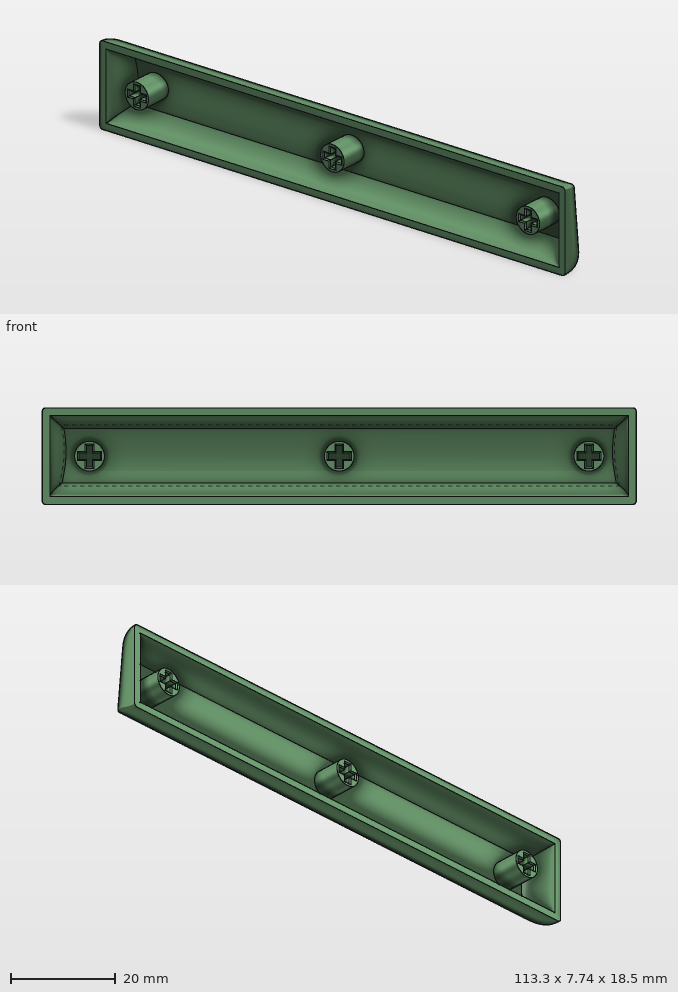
import cadquery as cq
import math

LENGTH = 113.25
WIDTH = 18.45
HEIGHT = 7.74

WALL = 1.5
CORNER_RADIUS = 0.7

UPPER_SIDE_RADIUS = 8.6
LOWER_SIDE_RADIUS = 10.1

TOP_RADIUS = 41.0
CREST_Z = -3.0

END_RADIUS = 7.3
END_STRAIGHT = 1.0
END_SLOPE = 0.1
END_TILT = math.degrees(math.atan(END_SLOPE))

STEM_COUNT = 3
STEM_PITCH = 47.6
STEM_DIAMETER = 5.7
STEM_TIP_Y = 0.0
CROSS_LENGTH = 4.1
CROSS_WIDTH = 1.2
CROSS_CHAMFER = 0.25


def circle_crossing(center_a, radius_a, center_b, radius_b, side):
    """Crossing point of two circles; side is 1 or -1, left or right when looking from a to b."""
    du = center_b[0] - center_a[0]
    dv = center_b[1] - center_a[1]
    distance = math.hypot(du, dv)
    along = (radius_a**2 - radius_b**2 + distance**2) / (2 * distance)
    across = side * math.sqrt(radius_a**2 - along**2)
    u = center_a[0] + (along * du - across * dv) / distance
    v = center_a[1] + (along * dv + across * du) / distance
    return u, v


def point_between(center, start, end):
    """Point on the circle around the center, midway between two of its points."""
    start_angle = math.atan2(start[1] - center[1], start[0] - center[0])
    end_angle = math.atan2(end[1] - center[1], end[0] - center[0])
    angle = (start_angle + end_angle) / 2
    radius = math.dist(center, start)
    return center[0] + radius * math.cos(angle), center[1] + radius * math.sin(angle)


def cross_section_bar(inset):
    """Bar along X with the arched cross-section of the cap, moved inwards by the inset."""
    half_width = WIDTH / 2
    upper_center = (0, half_width - UPPER_SIDE_RADIUS)
    lower_center = (0, LOWER_SIDE_RADIUS - half_width)
    top_center = (HEIGHT - TOP_RADIUS, CREST_Z)
    top_radius = TOP_RADIUS - inset
    upper_rim = (0, half_width - inset)
    lower_rim = (0, inset - half_width)
    upper_corner = circle_crossing(top_center, top_radius, upper_center, UPPER_SIDE_RADIUS - inset, 1)
    lower_corner = circle_crossing(top_center, top_radius, lower_center, LOWER_SIDE_RADIUS - inset, -1)
    return (
        cq.Workplane("YZ")
        .moveTo(*upper_rim)
        .threePointArc(point_between(upper_center, upper_rim, upper_corner), upper_corner)
        .threePointArc(point_between(top_center, upper_corner, lower_corner), lower_corner)
        .threePointArc(point_between(lower_center, lower_corner, lower_rim), lower_rim)
        .close()
        .extrude(LENGTH, both=True)
    )


def end_block(inset):
    """Long block with arched ends, tilted about X to follow the top face."""
    half_length = LENGTH / 2 - inset
    radius = END_RADIUS - inset
    arc_start = (half_length, END_STRAIGHT)
    arc_end = (half_length - radius, END_STRAIGHT + radius)
    arc_middle = point_between((arc_end[0], END_STRAIGHT), arc_start, arc_end)
    half_outline = (
        cq.Workplane("XY")
        .moveTo(0, -HEIGHT)
        .lineTo(half_length, -HEIGHT)
        .lineTo(*arc_start)
        .threePointArc(arc_middle, arc_end)
        .lineTo(0, arc_end[1])
    )
    return half_outline.mirrorY().extrude(WIDTH, both=True).rotate((0, 0, 0), (1, 0, 0), END_TILT)


def cap_form(inset):
    """Domed form of the cap, sides, ends and top moved inwards by the inset."""
    return cross_section_bar(inset).intersect(end_block(inset))


def rounded_cap():
    """Solid cap with the edges between its ends and long sides rounded."""
    cap = cap_form(0)
    above_rim = 0.01
    corner_edges = []
    for edge in cap.edges().vals():
        center = edge.Center()
        near_end = abs(center.x) > LENGTH / 4
        near_side = abs(center.z) > WIDTH / 4
        if near_end and near_side and center.y > above_rim:
            corner_edges.append(edge)
    return cap.newObject(corner_edges).fillet(CORNER_RADIUS)


def cross_socket():
    """Cross-shaped cutter, flared at the stem tip."""
    tip = cq.Workplane("XZ", origin=(0, STEM_TIP_Y, 0))
    flare = 2 * CROSS_CHAMFER
    socket = cq.Workplane("XZ")
    for x_size, z_size in ((CROSS_LENGTH, CROSS_WIDTH), (CROSS_WIDTH, CROSS_LENGTH)):
        arm = tip.rect(x_size, z_size).extrude(-HEIGHT)
        mouth = (
            tip.rect(x_size + flare, z_size + flare)
            .workplane(offset=-CROSS_CHAMFER)
            .rect(x_size, z_size)
            .loft()
        )
        socket = socket.add(arm).add(mouth)
    return socket.combine()


def stems(cavity):
    """Row of socketed stems, reaching from the tip plane to the cavity floor."""
    post = cq.Workplane("XZ", origin=(0, STEM_TIP_Y, 0)).circle(STEM_DIAMETER / 2).extrude(-HEIGHT)
    stem = post.cut(cross_socket())
    first_x = -STEM_PITCH * (STEM_COUNT - 1) / 2
    row = cq.Workplane("XZ")
    for index in range(STEM_COUNT):
        row = row.add(stem.translate((first_x + index * STEM_PITCH, 0, 0)))
    return row.combine().intersect(cavity)


cavity = cap_form(WALL)
result = rounded_cap().cut(cavity).union(stems(cavity)).solids()